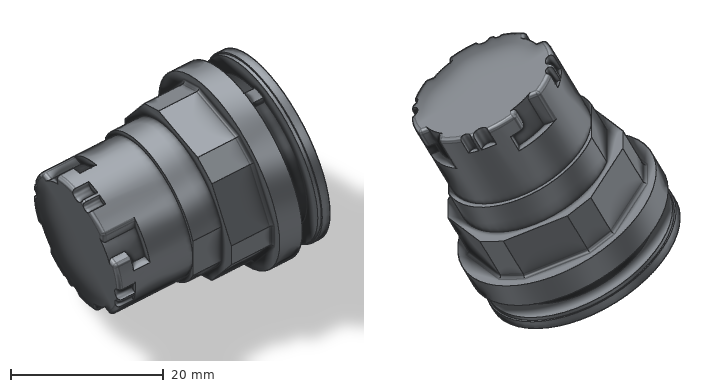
import cadquery as cq
import math


BARREL_END = 11.5
COLLAR_END = 16.02
NUT_END = 22.45
FLANGE_END = 25.98
NECK_END = 28.95
CAP_STEP_Y = 29.48
CAP_RIM_Y = 30.7
LENGTH = 31.53

BARREL_R = 20.75 / 2
COLLAR_R = 22.07 / 2
NECK_R = 22.2 / 2
FLANGE_R = 29.0 / 2
CAP_STEP_R = 27.4 / 2
CAP_RIM_R = 27.9 / 2
CAP_FACE_R = BARREL_R

COLLAR_FLATS = 20.87
NUT_FLATS_Z = 24.1
NUT_FLATS_X = 25.55
NUT_FILLET = 0.47

KEY_WIDTH = 2.0
KEY_TOP_Z = 12.08
KEY_START = 26.5
KEY_END = 28.75

TURNS = [0, 90, 180, 270]
SLOT_FLOOR_R = 18.3 / 2
SLOT_DEPTH = 5.15
SLOT_LOW_Z = 6.35
SLOT_MOUTH_X = -4.82
SLOT_STOP_X = -2.95
TIP_FILLET = 0.57
NOTCH_DEPTH = 2.6
WIDE_NOTCH_X = 0.2
WIDE_NOTCH_R = 1.07
NARROW_NOTCH_X = 2.43
NARROW_NOTCH_R = 0.75

TOLERANCE = 0.0003


def plane_at(y):
    """Workplane across the axis: local x is X, local y is Z, extrusion runs toward -Y."""
    return cq.Workplane("XZ", origin=(0, y, 0))


def disc(radius, y_start, y_end):
    return plane_at(y_end).circle(radius).extrude(y_end - y_start)


def block(x_start, x_end, z_start, z_end, y_start, y_end):
    size = (x_end - x_start, y_end - y_start, z_end - z_start)
    return cq.Workplane("XY").box(*size, centered=False).translate((x_start, y_start, z_start))


def cut_around(body, tool):
    """Cut the tool from the body at each quarter turn about the Y axis."""
    for angle in TURNS:
        body = body.cut(tool.rotate((0, 0, 0), (0, 1, 0), angle))
    return body


def make_barrel():
    barrel = disc(BARREL_R, 0, BARREL_END)
    floor = disc(SLOT_FLOOR_R, 0, SLOT_DEPTH)

    entry = block(-BARREL_R, SLOT_MOUTH_X, SLOT_LOW_Z, BARREL_R, 0, SLOT_DEPTH).cut(floor)
    barrel = cut_around(barrel, entry)

    middle_r = (BARREL_R + SLOT_FLOOR_R) / 2

    def on_land(edge):
        center = edge.Center()
        is_floor = edge.geomType() == "CIRCLE" and edge.radius() < middle_r
        on_tip = center.y < TOLERANCE and not is_floor
        is_outer = math.hypot(center.x, center.z) > middle_r
        on_wall = abs(center.y - SLOT_DEPTH / 2) < TOLERANCE and is_outer
        return on_tip or on_wall

    land_edges = [edge for edge in barrel.edges().vals() if on_land(edge)]
    barrel = barrel.newObject(land_edges).fillet(TIP_FILLET)

    turn = block(SLOT_MOUTH_X, SLOT_STOP_X, SLOT_LOW_Z, BARREL_R, NOTCH_DEPTH, SLOT_DEPTH).cut(floor)
    barrel = cut_around(barrel, turn)

    for x, radius in [(WIDE_NOTCH_X, WIDE_NOTCH_R), (NARROW_NOTCH_X, NARROW_NOTCH_R)]:
        z = math.sqrt(BARREL_R**2 - x**2)
        notch = disc(radius, 0, NOTCH_DEPTH).translate((x, 0, z))
        barrel = cut_around(barrel, notch)
    return barrel


def make_collar():
    flats = block(-COLLAR_FLATS / 2, COLLAR_FLATS / 2, -COLLAR_R, COLLAR_R, BARREL_END, COLLAR_END)
    return disc(COLLAR_R, BARREL_END, COLLAR_END).intersect(flats)


def hexagon(across_flats, turn):
    corner_diameter = across_flats / math.cos(math.pi / 6)
    prism = plane_at(NUT_END).polygon(6, corner_diameter).extrude(NUT_END - COLLAR_END)
    return prism.rotate((0, 0, 0), (0, 1, 0), turn)


def make_nut_and_flange():
    nut = hexagon(NUT_FLATS_Z, 0).intersect(hexagon(NUT_FLATS_X, 30))
    body = disc(FLANGE_R, NUT_END, FLANGE_END).union(nut)
    return body.faces("<Y[1]").edges("%LINE").fillet(NUT_FILLET)


def make_neck_and_cap():
    profile = [
        (0, FLANGE_END),
        (NECK_R, FLANGE_END),
        (NECK_R, NECK_END),
        (CAP_STEP_R, NECK_END),
        (CAP_STEP_R, CAP_STEP_Y),
        (CAP_RIM_R, CAP_STEP_Y),
        (CAP_RIM_R, CAP_RIM_Y),
        (CAP_FACE_R, LENGTH),
        (0, LENGTH),
    ]
    turned = cq.Workplane("XY").polyline(profile).close().revolve(360, (0, 0, 0), (0, 1, 0))
    key = block(-KEY_WIDTH / 2, KEY_WIDTH / 2, 0, KEY_TOP_Z, KEY_START, KEY_END)
    return turned.union(key)


result = make_barrel().union(make_collar()).union(make_nut_and_flange()).union(make_neck_and_cap())